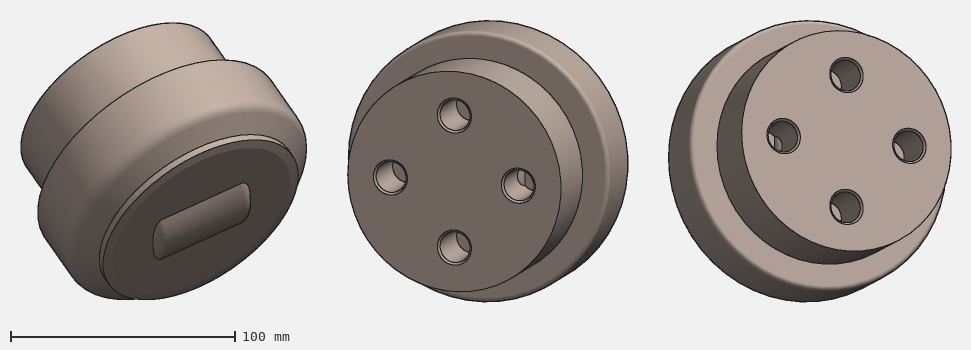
import cadquery as cq
import math

hub_end = 30.8
shoulder_end = 32.0
rim_start = 34.1
crown_start = 60.0
cone_end = 71.1
lip_end = 74.4
front_face = 75.3
overall_length = 79.2

hub_radius = 50.0
shoulder_radius = 44.9
neck_radius = 40.0
rim_radius = 61.5
lip_radius = hub_radius
front_face_radius = 45.5

rim_rear_round = 2.0
rim_front_round = 6.5
cone_angle = math.radians(55)

hole_count = 4
hole_circle_radius = 30.0
hole_radius = 7.0
hole_mouth_radius = 8.0
hole_chamfer = hole_mouth_radius - hole_radius
hole_depth = 24.6

roller_radius = 30.0
roller_width = 50.0
roller_round = 5.0


def turned_body():
    """Hub, neck and rim revolved about the X axis."""
    arc_center_radius = rim_radius - rim_front_round

    def crown_point(angle):
        """Point on the front rim rounding, at an angle from the outer cylinder."""
        return (
            crown_start + rim_front_round * math.sin(angle),
            arc_center_radius + rim_front_round * math.cos(angle),
        )

    rear_round_mid = rim_rear_round * (1 - math.sqrt(0.5))
    profile = (
        cq.Workplane("XY")
        .moveTo(0, 0)
        .lineTo(0, hub_radius)
        .lineTo(hub_end, hub_radius)
        .lineTo(hub_end, shoulder_radius)
        .lineTo(shoulder_end, shoulder_radius)
        .lineTo(shoulder_end, neck_radius)
        .lineTo(rim_start, neck_radius)
        .lineTo(rim_start, rim_radius - rim_rear_round)
        .threePointArc(
            (rim_start + rear_round_mid, rim_radius - rear_round_mid),
            (rim_start + rim_rear_round, rim_radius),
        )
        .lineTo(crown_start, rim_radius)
        .threePointArc(crown_point(cone_angle / 2), crown_point(cone_angle))
        .lineTo(cone_end, lip_radius)
        .lineTo(lip_end, lip_radius)
        .lineTo(front_face, front_face_radius)
        .lineTo(front_face, 0)
        .close()
    )
    return profile.revolve(360, (0, 0, 0), (1, 0, 0))


def mounting_holes():
    """Blind holes with chamfered mouths, opening on the mounting face."""
    hole_profile = (
        cq.Workplane("XY")
        .moveTo(0, 0)
        .lineTo(0, hole_mouth_radius)
        .lineTo(hole_chamfer, hole_radius)
        .lineTo(hole_depth, hole_radius)
        .lineTo(hole_depth, 0)
        .close()
    )
    hole = hole_profile.revolve(360, (0, 0, 0), (1, 0, 0)).translate((0, hole_circle_radius, 0))
    holes = hole
    for index in range(1, hole_count):
        holes = holes.union(hole.rotate((0, 0, 0), (1, 0, 0), index * 360 / hole_count))
    return holes


def cross_roller():
    """Rounded roller embedded in the body, standing proud of the front face."""
    return (
        cq.Workplane("XZ")
        .circle(roller_radius)
        .extrude(roller_width / 2, both=True)
        .edges("%CIRCLE")
        .fillet(roller_round)
        .translate((overall_length - roller_radius, 0, 0))
    )


result = turned_body().cut(mounting_holes()).union(cross_roller())